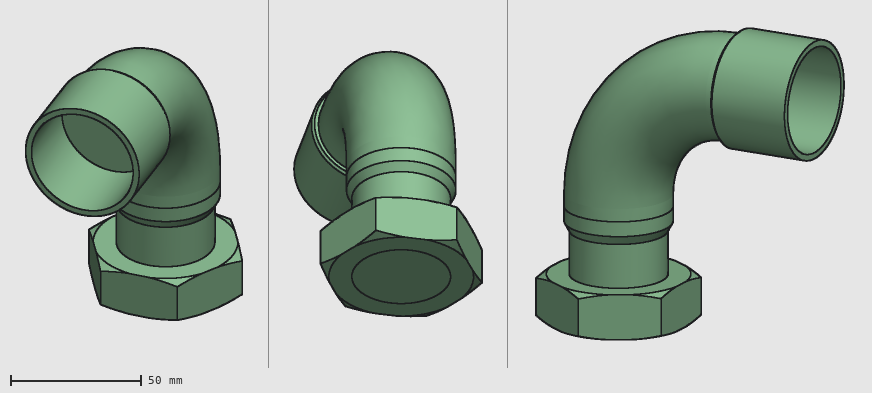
import cadquery as cq
import math

nut_corner_width = 63.5
nut_flat_width = nut_corner_width * math.cos(math.pi / 6)
nut_height = 18.1
nut_face_diameter = 55.5
nut_corner_drop = 1.6

pipe_diameter = 42.0
tail_diameter = 38.0
cone_start_z = 35.7
cone_end_z = 39.4
tail_top_z = 45.4

total_height = 124.0
total_depth = 113.5
bend_radius = 50.0
socket_diameter = 47.0
socket_length = 32.9
socket_chamfer = 1.0
socket_bore_diameter = pipe_diameter
socket_depth = 31.4

socket_axis_z = total_height - socket_diameter / 2
bend_start_z = socket_axis_z - bend_radius
mouth_y = nut_flat_width / 2 - total_depth
shoulder_y = mouth_y + socket_length


def make_nut():
    """Hexagon nut chamfered at both ends, bored to fit the tailpiece."""
    hexagon = cq.Workplane("XY").polygon(6, nut_corner_width).extrude(nut_height)
    corner_radius = nut_corner_width / 2
    face_radius = nut_face_diameter / 2
    chamfer_envelope = (
        cq.Workplane("XZ")
        .moveTo(0, 0)
        .lineTo(face_radius, 0)
        .lineTo(corner_radius, nut_corner_drop)
        .lineTo(corner_radius, nut_height - nut_corner_drop)
        .lineTo(face_radius, nut_height)
        .lineTo(0, nut_height)
        .close()
        .revolve(360, (0, 0, 0), (0, 1, 0))
    )
    bore = cq.Workplane("XY").circle(tail_diameter / 2).extrude(nut_height)
    return hexagon.intersect(chamfer_envelope).cut(bore)


def make_tailpiece():
    """Round tailpiece that widens through a cone to the pipe diameter."""
    return (
        cq.Workplane("XZ")
        .moveTo(0, 0)
        .lineTo(tail_diameter / 2, 0)
        .lineTo(tail_diameter / 2, cone_start_z)
        .lineTo(pipe_diameter / 2, cone_end_z)
        .lineTo(pipe_diameter / 2, tail_top_z)
        .lineTo(0, tail_top_z)
        .close()
        .revolve(360, (0, 0, 0), (0, 1, 0))
    )


def cylinder_from_mouth(diameter, length):
    """Cylinder on the socket axis, running from the mouth toward +Y."""
    mouth_plane = cq.Plane(origin=(0, mouth_y, socket_axis_z), xDir=(1, 0, 0), normal=(0, 1, 0))
    return cq.Workplane(mouth_plane).circle(diameter / 2).extrude(length)


def make_elbow():
    """Quarter bend with short straight ends and a blind socket at the mouth."""
    lower_straight = (
        cq.Workplane("XY", origin=(0, 0, tail_top_z))
        .circle(pipe_diameter / 2)
        .extrude(bend_start_z - tail_top_z)
    )
    bend = (
        cq.Workplane("XY", origin=(0, 0, bend_start_z))
        .circle(pipe_diameter / 2)
        .revolve(90, (0, -bend_radius, 0), (1, -bend_radius, 0))
    )
    bend_end_plane = cq.Plane(origin=(0, -bend_radius, socket_axis_z), xDir=(1, 0, 0), normal=(0, -1, 0))
    upper_straight = (
        cq.Workplane(bend_end_plane)
        .circle(pipe_diameter / 2)
        .extrude(-bend_radius - shoulder_y)
    )
    socket = (
        cylinder_from_mouth(socket_diameter, socket_length)
        .faces(">Y")
        .chamfer(socket_chamfer)
    )
    socket_bore = cylinder_from_mouth(socket_bore_diameter, socket_depth)
    return lower_straight.union(bend).union(upper_straight).union(socket).cut(socket_bore)


nut = make_nut()
tailpiece = make_tailpiece()
elbow = make_elbow()

result = cq.Compound.makeCompound([nut.val(), tailpiece.val(), elbow.val()])